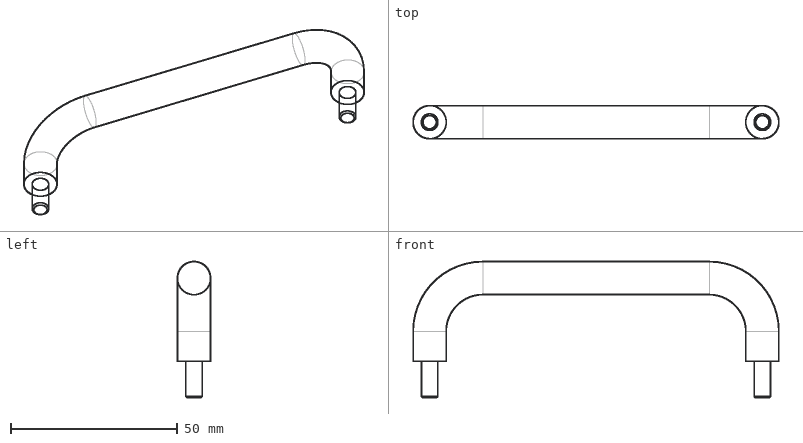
import cadquery as cq

leg_spacing = 100.0
bar_diameter = 10.0
handle_height = 30.0
bend_radius = 16.0
stud_diameter = 5.0
stud_length = 11.0
stud_chamfer = 0.5

leg_x = leg_spacing / 2
grip_z = handle_height - bar_diameter / 2
bend_start_z = grip_z - bend_radius
grip_end_x = leg_x - bend_radius


def make_bar():
    """Round bar swept along a U-shaped centreline, with its feet on Z = 0."""
    centreline = (
        cq.Workplane("XZ")
        .moveTo(-leg_x, 0)
        .lineTo(-leg_x, bend_start_z)
        .tangentArcPoint((-grip_end_x, grip_z), relative=False)
        .lineTo(grip_end_x, grip_z)
        .tangentArcPoint((leg_x, bend_start_z), relative=False)
        .lineTo(leg_x, 0)
    )
    profile = cq.Workplane("XY").center(-leg_x, 0).circle(bar_diameter / 2)
    return profile.sweep(centreline)


def make_stud(x):
    """Mounting stud hanging below a foot, chamfered at its free end."""
    return (
        cq.Workplane("XY")
        .center(x, 0)
        .circle(stud_diameter / 2)
        .extrude(-stud_length)
        .faces("<Z")
        .chamfer(stud_chamfer)
    )


result = make_bar()
for stud_x in (-leg_x, leg_x):
    result = result.union(make_stud(stud_x))